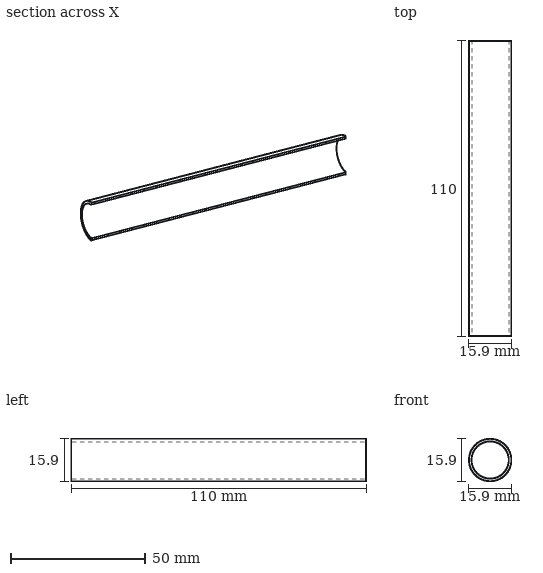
import cadquery as cq

outer_diameter = 15.9
inner_diameter = 13.8
length = 110.0

result = (
    cq.Workplane("XZ", origin=(0, length / 2, 0))
    .circle(outer_diameter / 2)
    .circle(inner_diameter / 2)
    .extrude(length)
)